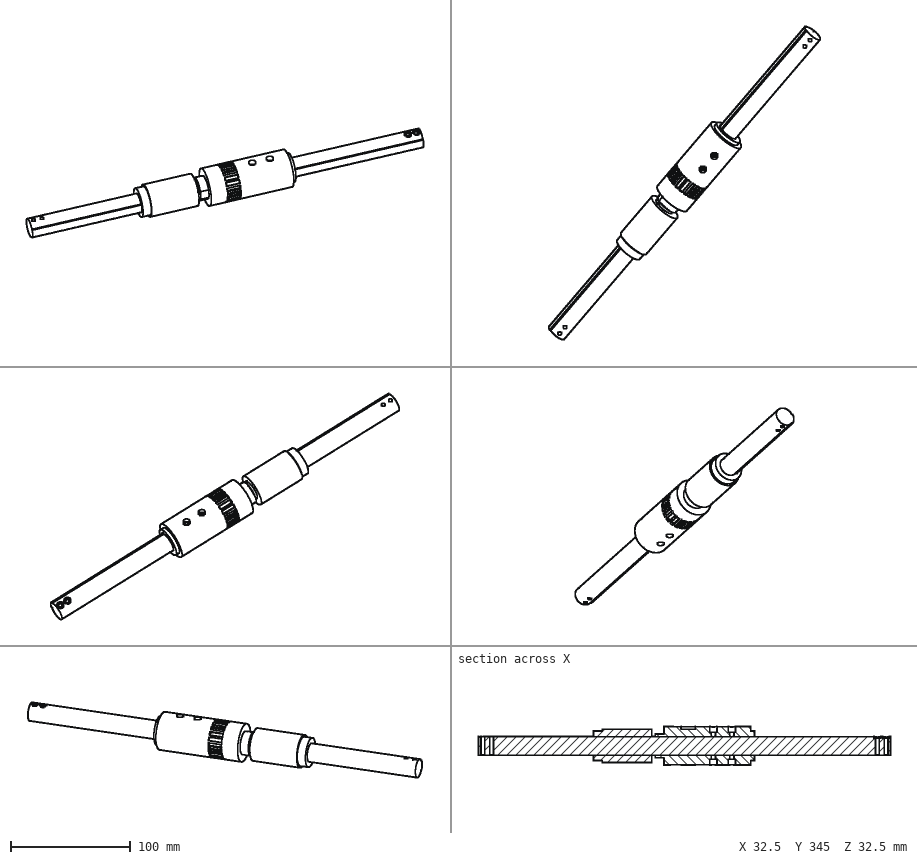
import cadquery as cq
import math

SHAFT_LENGTH = 345.0
SHAFT_DIAMETER = 16.0
RIDGE_HEIGHT = 0.95
RIDGE_WIDTH = 8.5

HOLE_DIAMETER = 3.0
HOLE_SPACING = 7.2
HOLES_PER_END = 2
HOLE_END_DISTANCE = 3.8
SHAFT_BORE_DIAMETER = 6.0
SHAFT_BORE_DEPTH = 1.5

CREST_CLEARANCE = 0.4
PASSAGE_RIDGE_HEIGHT = RIDGE_HEIGHT + CREST_CLEARANCE

HOUSING_DIAMETER = 32.5
HOUSING_BACK = 55.5
HOUSING_FRONT = -17.2
HOUSING_COLLAR_LENGTH = 3.0
NECK_DIAMETER = 20.0
NECK_LENGTH = 7.2

OIL_HOLE_DIAMETER = 3.5
OIL_BORE_DIAMETER = 6.0
OIL_BORE_DEPTH = 5.0
OIL_HOLE_POSITIONS = (39.7, 24.0)

SLOT_COUNT = 21
SLOT_WIDTH = 3.0
SLOT_BACK = 9.0
SLOT_FRONT = -2.8
SLOT_FLOOR_DIAMETER = 28.0

SLEEVE_DIAMETER = 28.0
SLEEVE_BACK = -27.3
SLEEVE_LENGTH = 41.7
SLEEVE_COLLAR_LENGTH = 7.2

SLEEVE_SHOULDER = 1.5
COLLAR_DIAMETER = SLEEVE_DIAMETER - 2 * SLEEVE_SHOULDER


def cylinder(diameter, y_start, y_end):
    """A round bar along Y between two stations."""
    length = y_end - y_start
    return cq.Workplane("XZ", origin=(0, y_start, 0)).circle(diameter / 2).extrude(-length)


def vertical_cylinder(diameter, y, z_start, z_end):
    """A round bar along Z that crosses the axis at the station y."""
    return cq.Workplane("XY", origin=(0, y, z_start)).circle(diameter / 2).extrude(z_end - z_start)


def ridged_bar(ridge_height, y_start, y_end):
    """A round bar with one parallel-sided ridge along +X, its crest concentric with the bar."""
    radius = SHAFT_DIAMETER / 2
    reach = radius + ridge_height
    side = RIDGE_WIDTH / 2
    root_x = math.sqrt(radius**2 - side**2)
    crest_x = math.sqrt(reach**2 - side**2)
    outline = (
        cq.Workplane("XZ", origin=(0, y_start, 0))
        .moveTo(root_x, side)
        .threePointArc((-radius, 0), (root_x, -side))
        .lineTo(crest_x, -side)
        .threePointArc((reach, 0), (crest_x, side))
        .close()
    )
    return outline.extrude(y_start - y_end)


def make_shaft():
    end = SHAFT_LENGTH / 2
    shaft = ridged_bar(RIDGE_HEIGHT, -end, end)
    counterbore_floor = SHAFT_DIAMETER / 2 - SHAFT_BORE_DEPTH
    for row in range(HOLES_PER_END):
        station = end - HOLE_END_DISTANCE - row * HOLE_SPACING
        for y in (station, -station):
            shaft = shaft.cut(vertical_cylinder(HOLE_DIAMETER, y, -SHAFT_DIAMETER, SHAFT_DIAMETER))
        shaft = shaft.cut(vertical_cylinder(SHAFT_BORE_DIAMETER, station, counterbore_floor, SHAFT_DIAMETER))
    return shaft


def cut_oil_holes(housing):
    outer = HOUSING_DIAMETER / 2
    floor = outer - OIL_BORE_DEPTH
    for y in OIL_HOLE_POSITIONS:
        housing = housing.cut(vertical_cylinder(OIL_HOLE_DIAMETER, y, -outer, outer))
        housing = housing.cut(vertical_cylinder(OIL_BORE_DIAMETER, y, floor, outer))
        housing = housing.cut(vertical_cylinder(OIL_BORE_DIAMETER, y, -outer, -floor))
    return housing


def cut_grip_slots(housing):
    """Parallel-sided slots spaced evenly around the housing, the first one on the +Z side."""
    slot_length = SLOT_BACK - SLOT_FRONT
    slot = (
        cq.Workplane("XY", origin=(0, SLOT_FRONT, 0))
        .box(SLOT_WIDTH, slot_length, HOUSING_DIAMETER, centered=(True, False, False))
        .cut(cylinder(SLOT_FLOOR_DIAMETER, SLOT_FRONT, SLOT_BACK))
    )
    for index in range(SLOT_COUNT):
        housing = housing.cut(slot.rotate((0, 0, 0), (0, 1, 0), index * 360 / SLOT_COUNT))
    return housing


def make_housing():
    collar_end = HOUSING_BACK + HOUSING_COLLAR_LENGTH
    neck_end = HOUSING_FRONT - NECK_LENGTH
    housing = (
        cylinder(HOUSING_DIAMETER, HOUSING_FRONT, HOUSING_BACK)
        .union(cylinder(COLLAR_DIAMETER, HOUSING_BACK, collar_end))
        .union(cylinder(NECK_DIAMETER, neck_end, HOUSING_FRONT))
    )
    housing = cut_oil_holes(housing)
    housing = cut_grip_slots(housing)
    return housing.cut(ridged_bar(PASSAGE_RIDGE_HEIGHT, neck_end, collar_end))


def make_sleeve():
    shoulder = SLEEVE_BACK - SLEEVE_LENGTH
    collar_end = shoulder - SLEEVE_COLLAR_LENGTH
    sleeve = cylinder(SLEEVE_DIAMETER, shoulder, SLEEVE_BACK)
    sleeve = sleeve.union(cylinder(COLLAR_DIAMETER, collar_end, shoulder))
    return sleeve.cut(ridged_bar(PASSAGE_RIDGE_HEIGHT, collar_end, SLEEVE_BACK))


shaft = make_shaft()
housing = make_housing()
sleeve = make_sleeve()
result = cq.Compound.makeCompound([shaft.val(), housing.val(), sleeve.val()])